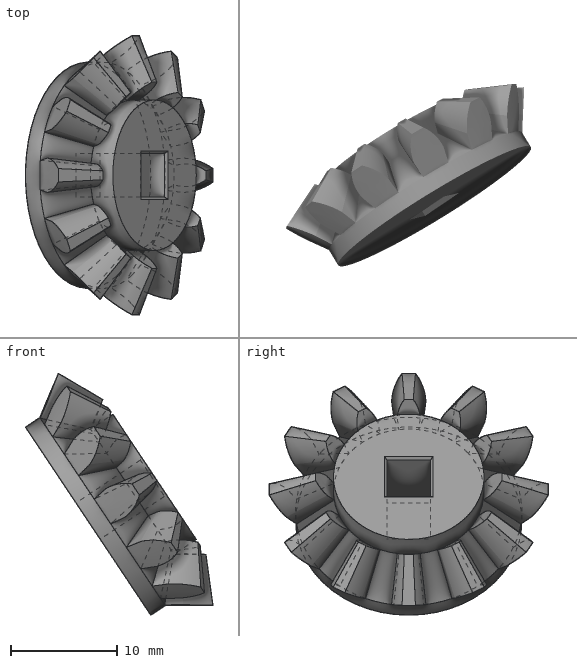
import cadquery as cq
import math

TEETH = 12
MATE_TEETH = 8
TIP_DIAMETER = 26.22
ROOT_DIAMETER = 21.25
HUB_DIAMETER = 14.13
DISC_THICKNESS = 1.63
HUB_TOP = 7.5
FACE_RATIO = 2 / 3

TIP_HEIGHT = 2.0
WIDEST_HEIGHT = -0.85
TIP_HALF_WIDTH = 0.63
FLANK_HEIGHT = 0.65
FLANK_HALF_WIDTH = 1.35
WIDEST_HALF_WIDTH = 1.63
ROOT_HALF_WIDTH = 1.42
SINK_DEPTH = 0.52
END_ALLOWANCE = 0.05
TIP_CLEARANCE = 0.25

BORE_SIDE = 4.1
BORE_CHAMFER = 0.24

pitch_angle = math.atan2(TEETH, MATE_TEETH)
up_back_cone = math.sin(pitch_angle)
out_back_cone = math.cos(pitch_angle)
pitch_radius = TIP_DIAMETER / 2 - TIP_HEIGHT * out_back_cone
root_radius = ROOT_DIAMETER / 2
hub_radius = HUB_DIAMETER / 2
root_height = (root_radius - pitch_radius) / out_back_cone
pitch_level = DISC_THICKNESS - root_height * up_back_cone
apex_level = pitch_level + pitch_radius / math.tan(pitch_angle)


def cone_point(height, scale=1.0):
    """(radius, level) of a tooth height, on the back cone shrunk towards the pitch apex."""
    radius = pitch_radius + height * out_back_cone
    level = pitch_level + height * up_back_cone
    return radius * scale, apex_level + (level - apex_level) * scale


def revolve_outline(points):
    """Solid turned about Z from (radius, level) points."""
    return cq.Workplane("XZ").polyline(points).close().revolve(360, (0, 0, 0), (0, 1, 0))


def blank():
    """Disc, root cone and hub."""
    hub_foot = cone_point(root_height, FACE_RATIO)[1]
    return revolve_outline([
        (0, 0),
        (root_radius, 0),
        (root_radius, DISC_THICKNESS),
        (hub_radius, hub_foot),
        (hub_radius, HUB_TOP),
        (0, HUB_TOP),
    ])


def tooth_envelope():
    """Ring between the outer and inner end cones of the teeth."""
    sink_height = root_height - SINK_DEPTH
    over_tip = TIP_HEIGHT + TIP_CLEARANCE
    return revolve_outline([
        cone_point(sink_height),
        cone_point(over_tip),
        cone_point(over_tip, FACE_RATIO),
        cone_point(sink_height, FACE_RATIO),
    ])


def tooth_outline(scale):
    """Tooth outline in a plane square to the pitch line, shrunk towards the pitch apex."""
    radius, level = cone_point(0, scale)
    plane = cq.Plane(
        origin=(radius, 0, level),
        xDir=(0, 1, 0),
        normal=(up_back_cone, 0, -out_back_cone),
    )
    narrowing = (WIDEST_HALF_WIDTH - ROOT_HALF_WIDTH) / (WIDEST_HEIGHT - root_height)
    base_depth = 2 * SINK_DEPTH
    base_height = root_height - base_depth
    base_half_width = ROOT_HALF_WIDTH - base_depth * narrowing

    def at(side, half_width, height):
        return side * half_width * scale, height * scale

    return (
        cq.Workplane(plane)
        .moveTo(*at(-1, base_half_width, base_height))
        .lineTo(*at(-1, WIDEST_HALF_WIDTH, WIDEST_HEIGHT))
        .threePointArc(at(-1, FLANK_HALF_WIDTH, FLANK_HEIGHT), at(-1, TIP_HALF_WIDTH, TIP_HEIGHT))
        .lineTo(*at(1, TIP_HALF_WIDTH, TIP_HEIGHT))
        .threePointArc(at(1, FLANK_HALF_WIDTH, FLANK_HEIGHT), at(1, WIDEST_HALF_WIDTH, WIDEST_HEIGHT))
        .lineTo(*at(1, base_half_width, base_height))
        .close()
        .wires()
        .val()
    )


def tooth():
    """One tooth along +X, its ends trimmed to the back cones."""
    outer_end = tooth_outline(1 + END_ALLOWANCE)
    inner_end = tooth_outline(FACE_RATIO - END_ALLOWANCE)
    tapered = cq.Solid.makeLoft([outer_end, inner_end], True)
    return cq.Workplane(tapered).intersect(tooth_envelope())


def bore():
    """Square through bore with a chamfered mouth on the hub."""
    straight = cq.Workplane("XY").rect(BORE_SIDE, BORE_SIDE).extrude(HUB_TOP)
    mouth_side = BORE_SIDE + 2 * BORE_CHAMFER
    mouth = (
        cq.Workplane("XY", origin=(0, 0, HUB_TOP - BORE_CHAMFER))
        .rect(BORE_SIDE, BORE_SIDE)
        .workplane(offset=BORE_CHAMFER)
        .rect(mouth_side, mouth_side)
        .loft(ruled=True)
    )
    return straight.union(mouth)


gear = blank()
single_tooth = tooth()
for index in range(TEETH):
    gear = gear.union(single_tooth.rotate((0, 0, 0), (0, 0, 1), index * 360 / TEETH))
gear = gear.cut(bore())

result = gear.rotate((0, 0, 0), (0, 1, 0), math.degrees(pitch_angle))